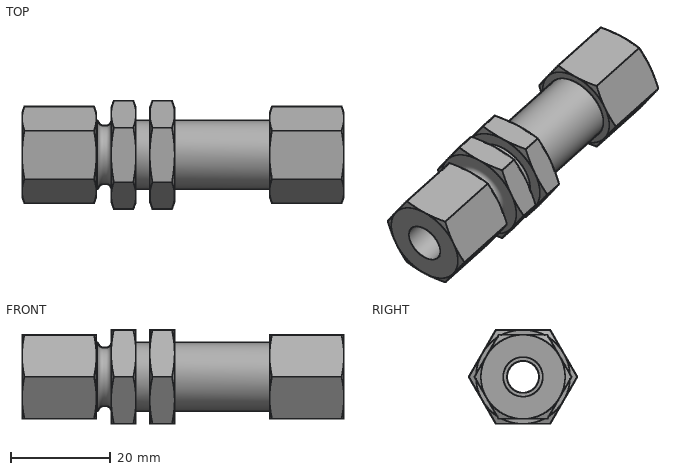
import cadquery as cq
import math


total_length = 65.0
end_nut_length = 15.0
collar_start = 18.0
lock_nut_start = 25.8
hex_ring_length = 5.0

end_nut_flats = 17.0
hex_ring_flats = 19.0
chamfer_angle = math.radians(20)

body_diameter = 14.0

relief_diameter = 11.9
relief_fillet = 1.0
relief_flat_length = 0.6
relief_slope = math.radians(60)

passage_diameter = 6.4
socket_diameter = 8.0
socket_depth = 14.5


def cylinder(start, length, diameter):
    return cq.Workplane("YZ", origin=(start, 0, 0)).circle(diameter / 2).extrude(length)


def chamfered_hexagon(start, length, flats):
    """Hexagonal prism along X with the corners of both ends turned to a cone."""
    corner_diameter = flats / math.cos(math.pi / 6)
    prism = cq.Workplane("YZ", origin=(start, 0, 0)).polygon(6, corner_diameter).extrude(length)

    face_radius = flats / 2
    corner_radius = corner_diameter / 2
    chamfer_length = (corner_radius - face_radius) * math.tan(chamfer_angle)
    end = start + length
    turned_blank = (
        cq.Workplane("XY")
        .moveTo(start, 0)
        .lineTo(start, face_radius)
        .lineTo(start + chamfer_length, corner_radius)
        .lineTo(end - chamfer_length, corner_radius)
        .lineTo(end, face_radius)
        .lineTo(end, 0)
        .close()
        .revolve(360, (0, 0, 0), (1, 0, 0))
    )
    return prism.intersect(turned_blank)


def relief_ring():
    """Material removed for the thread relief, which blends into the collar face."""
    body_radius = body_diameter / 2
    floor_radius = relief_diameter / 2
    fillet_center_radius = floor_radius + relief_fillet
    flat_end = collar_start - relief_fillet
    flat_start = flat_end - relief_flat_length

    def fillet_point(angle):
        """Point on the run-out fillet, at an angle back from the relief floor."""
        x = flat_start - relief_fillet * math.sin(angle)
        return x, fillet_center_radius - relief_fillet * math.cos(angle)

    cone_end_x, cone_end_radius = fillet_point(relief_slope)
    cone_start_x = cone_end_x - (body_radius - cone_end_radius) / math.tan(relief_slope)
    collar_fillet_middle = (
        flat_end + relief_fillet * math.sin(math.pi / 4),
        fillet_center_radius - relief_fillet * math.cos(math.pi / 4),
    )
    return (
        cq.Workplane("XY")
        .moveTo(cone_start_x, body_radius)
        .lineTo(cone_end_x, cone_end_radius)
        .threePointArc(fillet_point(relief_slope / 2), (flat_start, floor_radius))
        .lineTo(flat_end, floor_radius)
        .threePointArc(collar_fillet_middle, (collar_start, fillet_center_radius))
        .lineTo(collar_start, body_radius)
        .close()
        .revolve(360, (0, 0, 0), (1, 0, 0))
    )


second_nut_start = total_length - end_nut_length
body = cylinder(0, total_length, body_diameter).cut(relief_ring())

hexagons = [
    (0, end_nut_length, end_nut_flats),
    (collar_start, hex_ring_length, hex_ring_flats),
    (lock_nut_start, hex_ring_length, hex_ring_flats),
    (second_nut_start, end_nut_length, end_nut_flats),
]
for start, length, flats in hexagons:
    body = body.union(chamfered_hexagon(start, length, flats))

body = body.cut(cylinder(0, total_length, passage_diameter))
for socket_start in (0, total_length - socket_depth):
    body = body.cut(cylinder(socket_start, socket_depth, socket_diameter))

result = body